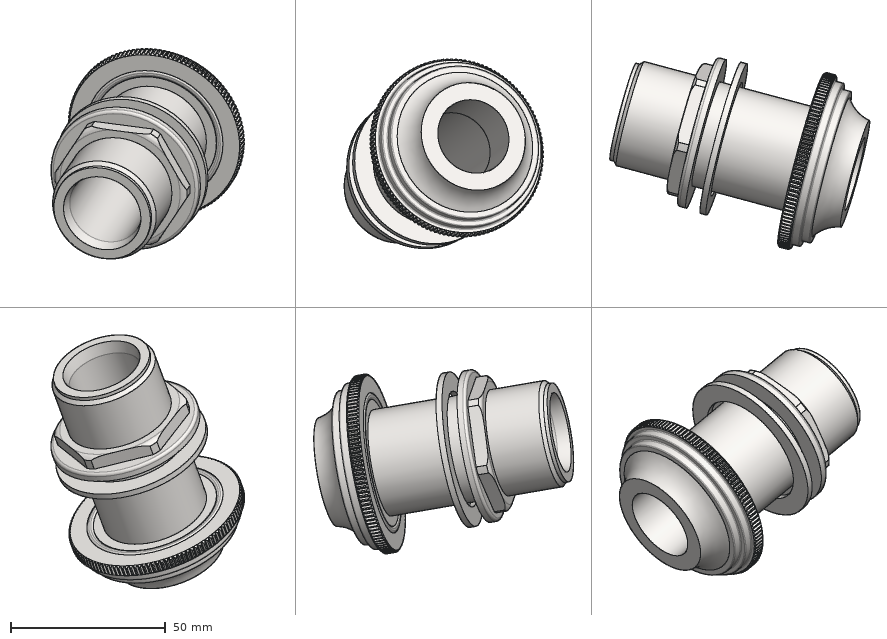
import cadquery as cq
import math

REAR_Y = 38.9
FRONT_Y = -38.9

TUBE_D = 34.9
TIP_D = 32.5
TIP_LENGTH = 1.25
TUBE_CHAMFER_LENGTH = 1.25
BORE_D = 24.4
MOUTH_D = 26.1
MOUTH_LENGTH = 4.3

CAP_TOP_D = 35.8
CAP_WAIST_D = 38.9
CAP_WAIST_DEPTH = 4.2
CAP_BASE_D = 46.5
CAP_LENGTH = 8.1
SMALL_FLANGE_D = 50.8
LARGE_FLANGE_D = 54.7
SMALL_FLANGE_THICKNESS = 2.95
LARGE_FLANGE_THICKNESS = 2.9
FLANGE_FILLET = 0.3
RIM_THICKNESS = 4.1
KNURL_TIP_D = 58.5
KNURL_ROOT_D = 57.25
KNURL_CHAMFER = 0.6
TOOTH_COUNT = 120
TOOTH_TIP_SHARE = 0.3
TOOTH_BASE_SHARE = 0.9

SEAL_OUTER_D = 46.05
SEAL_INNER_D = 41.6
SEAL_PROUD = 0.3
SEAL_DEPTH = 1.55
SEAL_FILLET = 0.8

WASHER_D = 50.7
WASHER_HOLE_D = 38.0
WASHER_THICKNESS = 2.0
WASHER_FRONT_Y = -6.15

NUT_REAR_Y = -11.05
NUT_FLANGE_D = 49.8
NUT_FLANGE_THICKNESS = 2.95
NUT_FLANGE_FILLET = 1.0
HEX_ACROSS_FLATS = 39.9
HEX_CORNER_D = 44.6
HEX_FRONT_D = 40.45
HEX_HEIGHT = 4.5
HEX_ROUND_HEIGHT = 1.0

SMALL_FLANGE_Y = REAR_Y - CAP_LENGTH
LARGE_FLANGE_Y = SMALL_FLANGE_Y - SMALL_FLANGE_THICKNESS
RIM_REAR_Y = LARGE_FLANGE_Y - LARGE_FLANGE_THICKNESS
RIM_FRONT_Y = RIM_REAR_Y - RIM_THICKNESS


def disc(diameter, start_y, end_y):
    """Solid cylinder on the Y axis between two positions."""
    sketch = cq.Workplane("XZ", origin=(0, start_y, 0)).circle(diameter / 2)
    return sketch.extrude(start_y - end_y)


def revolve_profile(profile):
    """Turn a closed profile (X = radius, Y = axial position) about the Y axis."""
    return profile.close().revolve(360, (0, 0, 0), (0, 1, 0))


def make_tube():
    chamfer_end_y = FRONT_Y + TIP_LENGTH
    return revolve_profile(
        cq.Workplane("XY")
        .moveTo(BORE_D / 2, RIM_FRONT_Y)
        .lineTo(TUBE_D / 2, RIM_FRONT_Y)
        .lineTo(TUBE_D / 2, chamfer_end_y + TUBE_CHAMFER_LENGTH)
        .lineTo(TIP_D / 2, chamfer_end_y)
        .lineTo(TIP_D / 2, FRONT_Y)
        .lineTo(MOUTH_D / 2, FRONT_Y)
        .lineTo(BORE_D / 2, FRONT_Y + MOUTH_LENGTH)
    )


def make_knurled_rim():
    """Toothed disc with a chamfer across the tooth ends; a gap lies on each main axis."""
    pitch = 2 * math.pi / TOOTH_COUNT
    half_tip = TOOTH_TIP_SHARE * pitch / 2
    half_base = TOOTH_BASE_SHARE * pitch / 2
    tooth_corners = [
        (KNURL_ROOT_D / 2, -half_base),
        (KNURL_TIP_D / 2, -half_tip),
        (KNURL_TIP_D / 2, half_tip),
        (KNURL_ROOT_D / 2, half_base),
    ]
    outline = []
    for tooth in range(TOOTH_COUNT):
        tooth_angle = (tooth + 0.5) * pitch
        for radius, offset in tooth_corners:
            angle = tooth_angle + offset
            outline.append((radius * math.cos(angle), radius * math.sin(angle)))
    rear_plane = cq.Workplane("XZ", origin=(0, RIM_REAR_Y, 0))
    toothed = rear_plane.polyline(outline).close().extrude(RIM_THICKNESS)
    envelope = disc(KNURL_TIP_D, RIM_REAR_Y, RIM_FRONT_Y).faces("<Y or >Y").chamfer(KNURL_CHAMFER)
    return toothed.intersect(envelope)


def make_head():
    cap_and_flanges = revolve_profile(
        cq.Workplane("XY")
        .moveTo(0, REAR_Y)
        .lineTo(CAP_TOP_D / 2, REAR_Y)
        .threePointArc(
            (CAP_WAIST_D / 2, REAR_Y - CAP_WAIST_DEPTH),
            (CAP_BASE_D / 2, SMALL_FLANGE_Y),
        )
        .lineTo(SMALL_FLANGE_D / 2 - FLANGE_FILLET, SMALL_FLANGE_Y)
        .radiusArc((SMALL_FLANGE_D / 2, SMALL_FLANGE_Y - FLANGE_FILLET), FLANGE_FILLET)
        .lineTo(SMALL_FLANGE_D / 2, LARGE_FLANGE_Y + FLANGE_FILLET)
        .radiusArc((SMALL_FLANGE_D / 2 + FLANGE_FILLET, LARGE_FLANGE_Y), -FLANGE_FILLET)
        .lineTo(LARGE_FLANGE_D / 2 - FLANGE_FILLET, LARGE_FLANGE_Y)
        .radiusArc((LARGE_FLANGE_D / 2, LARGE_FLANGE_Y - FLANGE_FILLET), FLANGE_FILLET)
        .lineTo(LARGE_FLANGE_D / 2, RIM_REAR_Y + FLANGE_FILLET)
        .radiusArc((LARGE_FLANGE_D / 2 + FLANGE_FILLET, RIM_REAR_Y), -FLANGE_FILLET)
        .lineTo(0, RIM_REAR_Y)
    )
    seal_floor_y = RIM_FRONT_Y + SEAL_DEPTH
    seal_groove = disc(SEAL_OUTER_D, seal_floor_y, RIM_FRONT_Y).cut(
        disc(SEAL_INNER_D, seal_floor_y, RIM_FRONT_Y)
    )
    bore = disc(BORE_D, REAR_Y, RIM_FRONT_Y)
    return cap_and_flanges.union(make_knurled_rim()).cut(seal_groove).cut(bore)


def make_seal():
    rear_y = RIM_FRONT_Y + SEAL_DEPTH
    front_y = RIM_FRONT_Y - SEAL_PROUD
    seal = disc(SEAL_OUTER_D, rear_y, front_y).cut(disc(SEAL_INNER_D, rear_y, front_y))
    return seal.faces("<Y").edges().fillet(SEAL_FILLET)


def make_washer():
    rear_y = WASHER_FRONT_Y + WASHER_THICKNESS
    return disc(WASHER_D, rear_y, WASHER_FRONT_Y).cut(disc(WASHER_HOLE_D, rear_y, WASHER_FRONT_Y))


def make_nut():
    hex_rear_y = NUT_REAR_Y - NUT_FLANGE_THICKNESS
    hex_front_y = hex_rear_y - HEX_HEIGHT
    flange = disc(NUT_FLANGE_D, NUT_REAR_Y, hex_rear_y).faces("<Y").edges().fillet(NUT_FLANGE_FILLET)
    corner_to_corner = HEX_ACROSS_FLATS / math.cos(math.pi / 6)
    hexagon = cq.Workplane("XZ", origin=(0, hex_rear_y, 0)).polygon(6, corner_to_corner).extrude(HEX_HEIGHT)
    envelope = revolve_profile(
        cq.Workplane("XY")
        .moveTo(0, hex_front_y)
        .lineTo(HEX_FRONT_D / 2, hex_front_y)
        .tangentArcPoint((HEX_CORNER_D / 2, hex_front_y + HEX_ROUND_HEIGHT), relative=False)
        .lineTo(HEX_CORNER_D / 2, hex_rear_y)
        .lineTo(0, hex_rear_y)
    )
    hole = disc(TUBE_D, NUT_REAR_Y, hex_front_y)
    return flange.union(hexagon.intersect(envelope)).cut(hole)


tube = make_tube()
head = make_head()
seal = make_seal()
washer = make_washer()
nut = make_nut()

result = cq.Compound.makeCompound([tube.val(), head.val(), seal.val(), washer.val(), nut.val()])